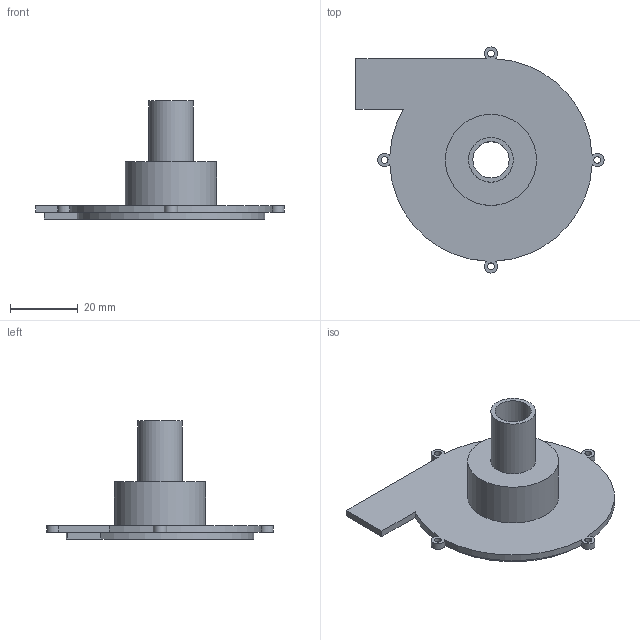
import cadquery as cq


plate_diameter = 60.0
plate_thickness = 2.0
outlet_length = 40.0
outlet_width = 15.0
outlet_far_y = plate_diameter / 2
outlet_near_y = outlet_far_y - outlet_width

step_diameter = 55.5
step_thickness = 2.0
step_outlet_inset = 2.5

boss_diameter = 27.0
boss_height = 13.0
tube_diameter = 13.25
tube_height = 18.0
bore_diameter = 10.75

lug_diameter = 4.0
lug_hole_diameter = 2.0
lug_pitch_radius = 31.5
lug_count = 4

plate_bottom = step_thickness
plate_top = plate_bottom + plate_thickness
boss_top = plate_top + boss_height
tube_top = boss_top + tube_height


def cylinder(diameter, bottom, top):
    """Cylinder on the Z axis between two levels."""
    return cq.Workplane("XY").workplane(offset=bottom).circle(diameter / 2).extrude(top - bottom)


def scroll(diameter, length, near_y, far_y, bottom, top):
    """Disc with a straight outlet reaching in -X, bounded by near_y and far_y."""
    outlet = (
        cq.Workplane("XY")
        .workplane(offset=bottom)
        .moveTo(-length, near_y)
        .lineTo(0, near_y)
        .lineTo(0, far_y)
        .lineTo(-length, far_y)
        .close()
        .extrude(top - bottom)
    )
    return cylinder(diameter, bottom, top).union(outlet)


def at_lugs(diameter):
    """Plate-thick cylinders at every lug position."""
    return (
        cq.Workplane("XY")
        .workplane(offset=plate_bottom)
        .polarArray(lug_pitch_radius, 0, 360, lug_count)
        .circle(diameter / 2)
        .extrude(plate_thickness)
    )


plate = scroll(plate_diameter, outlet_length, outlet_near_y, outlet_far_y, plate_bottom, plate_top)
step = scroll(
    step_diameter,
    outlet_length - step_outlet_inset,
    outlet_near_y + step_outlet_inset,
    outlet_far_y - step_outlet_inset,
    0,
    plate_bottom,
)
boss = cylinder(boss_diameter, plate_top, boss_top)
tube = cylinder(tube_diameter, boss_top, tube_top)
bore = cylinder(bore_diameter, 0, tube_top)

result = (
    plate.union(at_lugs(lug_diameter))
    .union(step)
    .union(boss)
    .union(tube)
    .cut(bore)
    .cut(at_lugs(lug_hole_diameter))
)